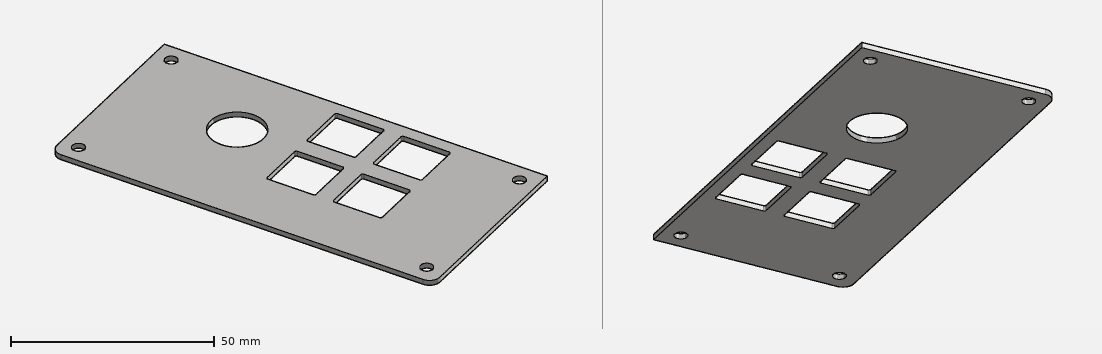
import cadquery as cq

LENGTH = 110.0
WIDTH = 54.0
THICKNESS = 1.5
CORNER_RADIUS = 3.0

MOUNT_HOLE_DIAMETER = 3.4
MOUNT_HOLE_INSET = 5.0

ROUND_OPENING_DIAMETER = 15.1
ROUND_OPENING_X = -20.6
ROUND_OPENING_Y = 4.7

SQUARE_SIZE = 14.0
SQUARE_CORNER_RADIUS = 0.5
SQUARE_PITCH = 19.05
SQUARE_GROUP_X = 12.975
SQUARE_GROUP_Y = 6.85


def make_plate():
    """Flat plate with its two front corners rounded."""
    plate = cq.Workplane("XY").box(LENGTH, WIDTH, THICKNESS, centered=(True, True, False))
    return plate.edges("|Z and <Y").fillet(CORNER_RADIUS)


def make_mount_holes():
    """Cutters for the four corner mounting holes."""
    spacing_x = LENGTH - 2 * MOUNT_HOLE_INSET
    spacing_y = WIDTH - 2 * MOUNT_HOLE_INSET
    return (
        cq.Workplane("XY")
        .rarray(spacing_x, spacing_y, 2, 2)
        .circle(MOUNT_HOLE_DIAMETER / 2)
        .extrude(THICKNESS)
    )


def make_round_opening():
    """Cutter for the large round opening."""
    return (
        cq.Workplane("XY")
        .center(ROUND_OPENING_X, ROUND_OPENING_Y)
        .circle(ROUND_OPENING_DIAMETER / 2)
        .extrude(THICKNESS)
    )


def make_square_openings():
    """Cutters for the four square openings with slightly rounded corners."""
    return (
        cq.Workplane("XY")
        .center(SQUARE_GROUP_X, SQUARE_GROUP_Y)
        .rarray(SQUARE_PITCH, SQUARE_PITCH, 2, 2)
        .rect(SQUARE_SIZE, SQUARE_SIZE)
        .extrude(THICKNESS)
        .edges("|Z")
        .fillet(SQUARE_CORNER_RADIUS)
    )


result = (
    make_plate()
    .cut(make_mount_holes())
    .cut(make_round_opening())
    .cut(make_square_openings())
)